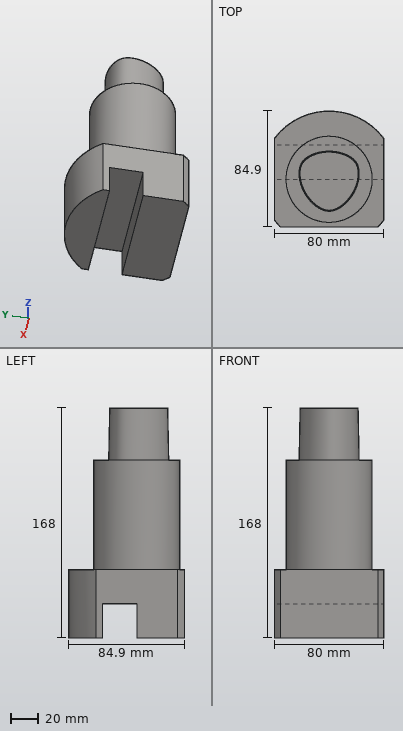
import cadquery as cq
import math

total_height = 168.0
base_height = 50.0
shaft_height = 80.0

base_width = 80.0
base_radius = 49.9
base_front = 35.0

slot_width = 25.0
slot_depth = base_height / 2

shaft_diameter = 63.0

shank_base_width = 44.0
shank_top_width = 42.5
lobe_offset = 1.41
outline_points = 48


def make_base():
    base_length = base_front + base_radius
    block = (
        cq.Workplane("XY")
        .center(0, base_length / 2 - base_front)
        .rect(base_width, base_length)
        .extrude(base_height)
    )
    round_limit = cq.Workplane("XY").circle(base_radius).extrude(base_height)
    slot = cq.Workplane("XY").box(base_width, slot_width, slot_depth, centered=(True, False, False))
    return block.intersect(round_limit).cut(slot)


def make_shaft():
    return (
        cq.Workplane("XY")
        .workplane(offset=base_height)
        .circle(shaft_diameter / 2)
        .extrude(shaft_height)
    )


def trilobe_outline(width, height):
    """Return a constant-width closed wire whose first lobe points to -Y."""
    points = []
    for step in range(outline_points):
        angle = 2 * math.pi * step / outline_points
        along = width / 2 * math.cos(angle)
        along += lobe_offset * (2 * math.cos(2 * angle) - math.cos(4 * angle))
        across = width / 2 * math.sin(angle)
        across -= lobe_offset * (2 * math.sin(2 * angle) + math.sin(4 * angle))
        points.append(cq.Vector(across, -along, height))
    return cq.Wire.assembleEdges([cq.Edge.makeSpline(points, periodic=True)])


def make_shank():
    bottom = trilobe_outline(shank_base_width, base_height + shaft_height)
    top = trilobe_outline(shank_top_width, total_height)
    return cq.Workplane(cq.Solid.makeLoft([bottom, top], True))


result = make_base().union(make_shaft()).union(make_shank())